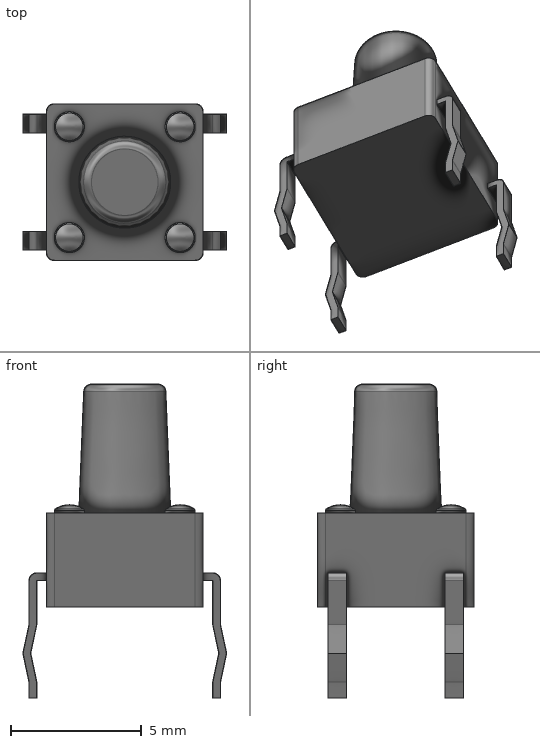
import cadquery as cq

total_height = 12.01
body_width = 5.99
body_bottom = 3.48
body_height = 3.6
body_top = body_bottom + body_height
body_corner_radius = 0.3

button_base_diameter = 3.52
button_top_diameter = 3.12
button_height = total_height - body_top
button_edge_radius = 0.3

rivet_diameter = 1.15
rivet_spacing = 4.24
rivet_rim_height = 0.1
rivet_shoulder_height = 0.16
rivet_dome_diameter = 1.06
rivet_height = 0.31

lead_span = 7.33
lead_peak_span = 7.8
lead_thickness = 0.3
lead_width = 0.72
lead_spacing = 4.48
lead_top = 4.79
lead_upper_knee = 2.81
lead_peak = 1.72
lead_lower_knee = 0.61


def make_body():
    return (
        cq.Workplane("XY", origin=(0, 0, body_bottom))
        .rect(body_width, body_width)
        .extrude(body_height)
        .edges("|Z")
        .fillet(body_corner_radius)
    )


def make_button():
    base_radius = button_base_diameter / 2
    top_radius = button_top_diameter / 2
    button = (
        cq.Workplane("XZ")
        .moveTo(0, body_top)
        .lineTo(base_radius, body_top)
        .lineTo(top_radius, body_top + button_height)
        .lineTo(0, body_top + button_height)
        .close()
        .revolve(360, (0, 0, 0), (0, 1, 0))
    )
    return button.faces(">Z").edges().fillet(button_edge_radius)


def make_rivet():
    """Short cylindrical rim, chamfered shoulder and spherical cap, based at Z = 0."""
    rim_radius = rivet_diameter / 2
    dome_radius = rivet_dome_diameter / 2
    cap_rise = rivet_height - rivet_shoulder_height
    sphere_radius = (dome_radius**2 + cap_rise**2) / (2 * cap_rise)
    mid_x = dome_radius / 2
    mid_z = rivet_height - sphere_radius + (sphere_radius**2 - mid_x**2) ** 0.5
    return (
        cq.Workplane("XZ")
        .lineTo(rim_radius, 0)
        .lineTo(rim_radius, rivet_rim_height)
        .lineTo(dome_radius, rivet_shoulder_height)
        .threePointArc((mid_x, mid_z), (0, rivet_height))
        .close()
        .revolve(360, (0, 0, 0), (0, 1, 0))
    )


def make_lead():
    """Lead on the +X side, centred on Y = 0, starting at the housing wall."""
    wall = body_width / 2
    outer = lead_span / 2
    inner = outer - lead_thickness
    outer_peak = lead_peak_span / 2
    inner_peak = outer_peak - lead_thickness
    shelf_bottom = lead_top - lead_thickness
    return (
        cq.Workplane("XZ")
        .moveTo(wall, lead_top)
        .lineTo(inner, lead_top)
        .radiusArc((outer, shelf_bottom), lead_thickness)
        .lineTo(outer, lead_upper_knee)
        .lineTo(outer_peak, lead_peak)
        .lineTo(outer, lead_lower_knee)
        .lineTo(outer, 0)
        .lineTo(inner, 0)
        .lineTo(inner, lead_lower_knee)
        .lineTo(inner_peak, lead_peak)
        .lineTo(inner, lead_upper_knee)
        .lineTo(inner, shelf_bottom)
        .lineTo(wall, shelf_bottom)
        .close()
        .extrude(lead_width / 2, both=True)
    )


result = make_body().union(make_button())
rivet = make_rivet()
right_lead = make_lead()
left_lead = right_lead.mirror("YZ")

for y_side in (-1, 1):
    for x_side in (-1, 1):
        rivet_place = (x_side * rivet_spacing / 2, y_side * rivet_spacing / 2, body_top)
        result = result.union(rivet.translate(rivet_place))
    for lead in (left_lead, right_lead):
        result = result.union(lead.translate((0, y_side * lead_spacing / 2, 0)))